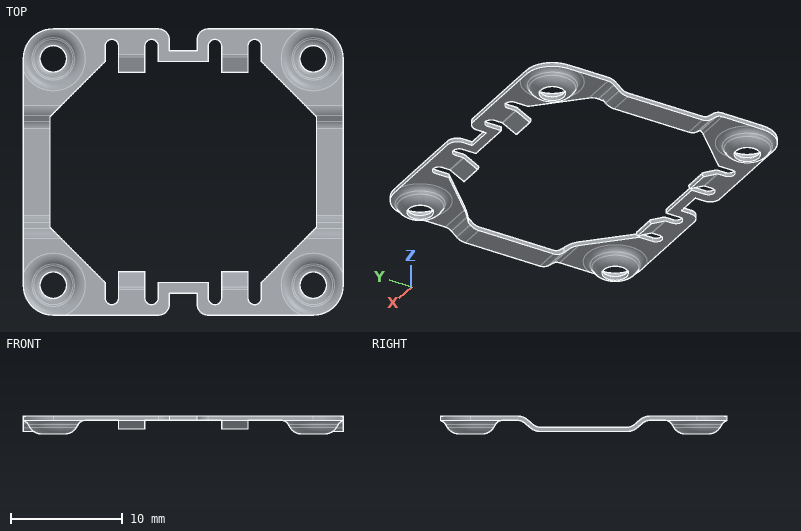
import cadquery as cq
import math

width = 28.7
depth = 25.7
thickness = 0.4
corner_radius = 2.7

window_half_width = 11.95
window_half_depth = 9.9
window_corner_cut = 4.95

strap_drop = 1.0
strap_bend_start = 5.95
strap_bend_angle = 40.0
strap_bend_radius = 0.98

hole_radius = 1.18
dimple_rim_radius = 2.87
dimple_drop = 1.23
dimple_angle = 60.0
dimple_rim_bend_radius = 0.72
dimple_floor_bend_radius = 0.83

tab_offset = 4.62
tab_width = 2.38
tab_bend_start = 10.53
tab_tip = 8.85
tab_angle = 28.0
tab_bend_radius = 0.11
tab_tip_radius = 0.17
tab_overlap = 0.4
slot_width = 1.18
slot_end = 11.88

notch_width = 2.47
notch_floor = 10.88
notch_corner_radius = 1.0

half_depth = depth / 2
cut_height = 11.48
side_signs = (-1, 1)
corner_x = width / 2 - corner_radius
corner_y = half_depth - corner_radius
corner_centres = [(sx * corner_x, sy * corner_y) for sx in side_signs for sy in side_signs]


def straight(length):
    return ("straight", length)


def bend(angle, inside_radius):
    """A positive angle bends the sheet up, a negative one bends it down."""
    return ("bend", angle, inside_radius)


def sheet_profile(plane, start, pieces):
    """Closed section of a bent sheet whose top surface begins at (start, 0) and runs along local +X."""
    x, z, heading = start, 0.0, 0.0
    top_edges = []
    bottom_edges = []

    def beside(distance):
        """Point at a signed distance square to the sheet from the current top point."""
        angle = math.radians(heading)
        return (x - distance * math.sin(angle), z + distance * math.cos(angle))

    first_bottom = beside(-thickness)
    for piece in pieces:
        if piece[0] == "straight":
            x += piece[1] * math.cos(math.radians(heading))
            z += piece[1] * math.sin(math.radians(heading))
            top_edges.append(((x, z),))
            bottom_edges.append((beside(-thickness),))
            continue
        _, turn, inside_radius = piece
        centre_distance = inside_radius if turn > 0 else -(inside_radius + thickness)
        centre_x, centre_z = beside(centre_distance)
        top_arc = []
        bottom_arc = []
        for _ in range(2):
            heading += turn / 2
            x = centre_x + centre_distance * math.sin(math.radians(heading))
            z = centre_z - centre_distance * math.cos(math.radians(heading))
            top_arc.append((x, z))
            bottom_arc.append(beside(-thickness))
        top_edges.append(tuple(top_arc))
        bottom_edges.append(tuple(bottom_arc))

    profile = cq.Workplane(plane).moveTo(start, 0)
    for points in top_edges:
        profile = profile.lineTo(*points[0]) if len(points) == 1 else profile.threePointArc(*points)
    profile = profile.lineTo(*bottom_edges[-1][-1])
    bottom_starts = [first_bottom] + [points[-1] for points in bottom_edges[:-1]]
    for points, end in zip(reversed(bottom_edges), reversed(bottom_starts)):
        profile = profile.lineTo(*end) if len(points) == 1 else profile.threePointArc(points[0], end)
    return profile.close()


def step_down(drop, angle, first_radius, second_radius):
    """Bend down, sloping run and bend back to level that lower the sheet by drop; also its run length."""
    radians = math.radians(angle)
    radius_sum = first_radius + second_radius + thickness
    slope_length = (drop - radius_sum * (1 - math.cos(radians))) / math.sin(radians)
    run = radius_sum * math.sin(radians) + slope_length * math.cos(radians)
    return [bend(-angle, first_radius), straight(slope_length), bend(angle, second_radius)], run


def section_plane(x=0.0):
    """Plane square to X, with local X pointing to -Y and local Y pointing up."""
    return cq.Plane(origin=(x, 0, 0), xDir=(0, -1, 0), normal=(-1, 0, 0))


def box_cut(x, y_low, y_high, size_x):
    """Full-height cutter from y_low to y_high, centred on x."""
    return cq.Workplane("XY").center(x, (y_low + y_high) / 2).rect(size_x, y_high - y_low).extrude(
        cut_height / 2, both=True
    )


def cylinder_cut(centres, radius):
    return cq.Workplane("XY").pushPoints(centres).circle(radius).extrude(cut_height / 2, both=True)


def outline():
    """Full-height block with the rounded outer corners and the edge notches."""
    block = cq.Workplane("XY").rect(width, depth).extrude(cut_height / 2, both=True)
    block = block.edges("|Z").fillet(corner_radius)
    for sign in side_signs:
        notch = box_cut(0, notch_floor, half_depth, notch_width)
        block = block.cut(notch if sign > 0 else notch.mirror("XZ"))
        lip_edges = cq.selectors.BoxSelector(
            (-notch_width, sign * (half_depth - thickness), -cut_height),
            (notch_width, sign * (half_depth + thickness), cut_height),
        )
        block = block.edges("|Z").edges(lip_edges).fillet(notch_corner_radius)
    return block


def lowered_sheet():
    """Full-width sheet, lowered across the middle to form the side straps."""
    step, run = step_down(strap_drop, strap_bend_angle, strap_bend_radius, strap_bend_radius)
    pieces = [straight(half_depth - strap_bend_start)] + step + [straight(strap_bend_start - run)]
    half = sheet_profile(section_plane(), -half_depth, pieces).extrude(width / 2, both=True)
    return half.union(half.mirror("XZ"))


def window():
    block = cq.Workplane("XY").rect(2 * window_half_width, 2 * window_half_depth)
    block = block.extrude(cut_height / 2, both=True)
    return block.edges("|Z").chamfer(window_corner_cut)


def dimple(centre):
    step, run = step_down(dimple_drop, dimple_angle, dimple_rim_bend_radius, dimple_floor_bend_radius)
    pieces = step + [straight(dimple_rim_radius - run)]
    plane = cq.Plane(origin=(*centre, 0), xDir=(1, 0, 0), normal=(0, -1, 0))
    return sheet_profile(plane, -dimple_rim_radius, pieces).revolve(360, (0, 0), (0, 1))


def tab_relief(x):
    """Space around one back tab: two round-ended slots and the gap the tab bends into."""
    relief = box_cut(x, 0, tab_bend_start, tab_width)
    slot_radius = slot_width / 2
    slot_arc_y = slot_end - slot_radius
    for side in side_signs:
        slot_x = x + side * (tab_width + slot_width) / 2
        relief = relief.union(box_cut(slot_x, 0, slot_arc_y, slot_width))
        relief = relief.union(cylinder_cut([(slot_x, slot_arc_y)], slot_radius))
    return relief


def tab(x):
    """One back tab, bent down towards the window, with a rounded upper tip edge."""
    angle = math.radians(tab_angle)
    bend_run = (tab_bend_radius + thickness) * math.sin(angle)
    slope_length = (tab_bend_start - bend_run - tab_tip) / math.cos(angle)
    tip_z = -(tab_bend_radius + thickness) * (1 - math.cos(angle)) - slope_length * math.sin(angle)
    pieces = [
        straight(tab_overlap),
        bend(-tab_angle, tab_bend_radius),
        straight(slope_length),
    ]
    profile = sheet_profile(section_plane(x), -(tab_bend_start + tab_overlap), pieces)
    strip = profile.extrude(tab_width / 2, both=True)
    tip_top_edge = cq.selectors.NearestToPointSelector((x, tab_tip, tip_z))
    return strip.edges("|X").edges(tip_top_edge).fillet(tab_tip_radius)


frame = lowered_sheet().cut(window())

frame = frame.cut(cylinder_cut(corner_centres, dimple_rim_radius))
for corner_centre in corner_centres:
    frame = frame.union(dimple(corner_centre))
frame = frame.cut(cylinder_cut(corner_centres, hole_radius))
frame = frame.intersect(outline())

for tab_side in side_signs:
    relief_cut = tab_relief(tab_side * tab_offset)
    back_tab = tab(tab_side * tab_offset)
    frame = frame.cut(relief_cut).union(back_tab)
    frame = frame.cut(relief_cut.mirror("XZ")).union(back_tab.mirror("XZ"))

result = frame